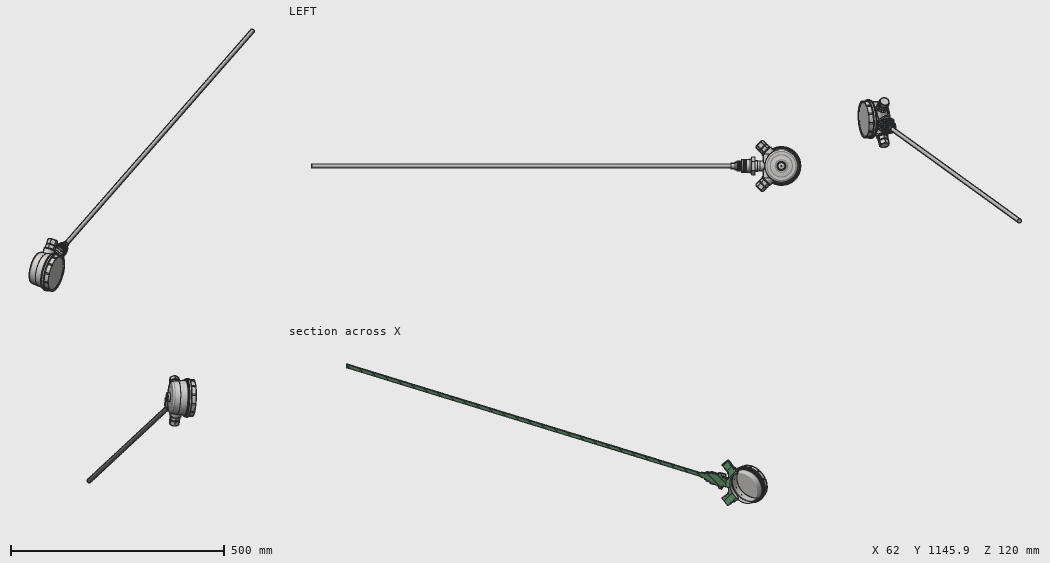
import cadquery as cq
import math


total_length = 1145.94
total_width = 62.05
total_height = 119.98

cap_flange_radius = 45.5
button_tip_x = -27.8
cap_face_x = button_tip_x + total_width
shell_face_x = -19.8
shell_front_radius = 38.0
shell_rear_radius = 41.5
shell_fillet = 4.5
port_axis_x = -0.6

chamber_wall = 1.8
chamber_floor_x = -2.0

face_cone_base_radius = 26.0
face_cone_top_radius = 14.5
face_cone_height = 1.5
button_radius = 21.0 / 2
button_groove_outer_radius = 19.0 / 2
button_groove_inner_radius = 16.0 / 2
button_groove_depth = 1.5
button_dome_drop = 1.0
button_pinhole_radius = 2.0 / 2
button_pinhole_depth = 2.0

cap_radius = 43.5
cap_start_x = 14.6
cap_flange_start_x = 16.7
cap_flange_width = 7.2
cap_flange_bevel = 1.5
cap_notch_count = 12
cap_notch_radius = 3.4 / 2
cap_notch_length = 9.5

port_angles = (45, -45)
port_boss_radius = 13.5
port_boss_reach = 50.0
plug_neck_radius = 19.5 / 2
plug_flats = 21.0
plug_corner_radius = plug_flats / 2 / math.cos(math.pi / 6)
plug_bevel = 2.0
plug_nut_start = 52.0
plug_nut_end = 61.0
plug_head_start = 62.5
plug_head_end = total_height / 2 * math.sqrt(2) - plug_corner_radius + plug_bevel

block_reach = 43.0
block_half_height = port_boss_reach * math.sqrt(2) - block_reach
block_rounding = 10.0
stub_radius = 12.0
stub_end_y = 50.0

fitting_neck_radius = stub_radius
neck_shoulder_radius = 12.6
neck_shoulder_start_y = 56.5
washer_radius = 15.9
washer_end_y = 74.0
nut_start_y = 61.5
nut_end_y = 70.5
nut_flats = 37.0
nut_bevel = 1.8
collar_radius = 15.2
collar_end_y = 80.5
large_step_end_y = 93.5
small_step_radius = 12.2
small_step_end_y = 104.5
tip_radius = 18.38 / 2
tip_end_y = 108.5
groove_pitch = 3.4
groove_width = 1.5
groove_depth = 1.0
sleeve_radius = 13.5 / 2
sleeve_end_y = 118.5
rod_radius = 10.0 / 2
rod_end_y = total_length - cap_flange_radius


def x_revolve(points):
    """Solid turned about the X axis from (x, radius) points."""
    return cq.Workplane("XY").polyline(points).close().revolve(360, (0, 0, 0), (1, 0, 0))


def y_cylinder(radius, start_y, end_y):
    """Cylinder on the rod axis between two Y positions."""
    return cq.Workplane("XZ", origin=(0, start_y, 0)).circle(radius).extrude(start_y - end_y)


def port_plane(angle, distance):
    """Plane across a cable port axis, at a distance from the head centre."""
    turn = math.radians(angle)
    direction = cq.Vector(0, math.cos(turn), math.sin(turn))
    origin = direction * distance + cq.Vector(port_axis_x, 0, 0)
    return cq.Workplane(cq.Plane(origin, xDir=(1, 0, 0), normal=direction))


def make_shell():
    """Tapered round shell with a rounded front rim."""
    shell = x_revolve([
        (shell_face_x, 0),
        (shell_face_x, shell_front_radius),
        (cap_start_x, shell_rear_radius),
        (cap_start_x, 0),
    ])
    return shell.faces("<X").edges().fillet(shell_fillet)


def make_chamber():
    """Hollow that follows the shell taper from its floor to the inside of the cap."""
    taper = (shell_rear_radius - shell_front_radius) / (cap_start_x - shell_face_x)
    floor_radius = shell_front_radius + taper * (chamber_floor_x - shell_face_x) - chamber_wall
    rear_radius = shell_rear_radius - chamber_wall
    chamber_roof_x = cap_face_x - chamber_wall
    return x_revolve([
        (chamber_floor_x, 0),
        (chamber_floor_x, floor_radius),
        (cap_start_x, rear_radius),
        (chamber_roof_x, rear_radius),
        (chamber_roof_x, 0),
    ])


def make_button():
    """Shallow cone on the shell face with a grooved, slightly domed button."""
    cone_top_x = shell_face_x - face_cone_height
    groove_x = button_tip_x + button_groove_depth
    return x_revolve([
        (shell_face_x, 0),
        (shell_face_x, face_cone_base_radius),
        (cone_top_x, face_cone_top_radius),
        (cone_top_x, button_radius),
        (button_tip_x, button_radius),
        (button_tip_x, button_groove_outer_radius),
        (groove_x, button_groove_outer_radius),
        (groove_x, button_groove_inner_radius),
        (button_tip_x + button_dome_drop, button_groove_inner_radius),
        (button_tip_x, button_pinhole_radius),
        (button_tip_x + button_pinhole_depth, button_pinhole_radius),
        (button_tip_x + button_pinhole_depth, 0),
    ])


def make_cap():
    """Screw cap with a bevelled flange and a ring of grip notches."""
    flange_end_x = cap_flange_start_x + cap_flange_width
    cap = x_revolve([
        (cap_start_x, 0),
        (cap_start_x, cap_radius),
        (cap_flange_start_x, cap_radius),
        (cap_flange_start_x + cap_flange_bevel, cap_flange_radius),
        (flange_end_x - cap_flange_bevel, cap_flange_radius),
        (flange_end_x, cap_radius),
        (cap_face_x, cap_radius),
        (cap_face_x, 0),
    ])
    notches = (
        cq.Workplane("YZ", origin=(cap_face_x, 0, 0))
        .polarArray(cap_radius, 0, 360, cap_notch_count)
        .circle(cap_notch_radius)
        .extrude(-cap_notch_length)
    )
    return cap.cut(notches)


def plug_hexagon(angle, start, end):
    """Hexagon length on a port axis, with flats facing +X and -X."""
    section = port_plane(angle, start).transformed(rotate=(0, 0, 90))
    return section.polygon(6, 2 * plug_corner_radius).extrude(end - start)


def make_port(angle):
    """Round port boss with a hexagon plug: a nut, a groove and a bevelled head."""
    axis = port_plane(angle, 0).plane.zDir
    boss = port_plane(angle, 0).circle(port_boss_radius).extrude(port_boss_reach)
    neck = port_plane(angle, port_boss_reach).circle(plug_neck_radius)
    neck = neck.extrude(plug_head_start - port_boss_reach)
    nut = plug_hexagon(angle, plug_nut_start, plug_nut_end)
    head = plug_hexagon(angle, plug_head_start, plug_head_end)
    bevel_limit = port_plane(angle, plug_head_start).circle(plug_corner_radius)
    bevel_limit = bevel_limit.extrude(plug_head_end - plug_head_start)
    bevel_limit = bevel_limit.faces(cq.selectors.DirectionMinMaxSelector(axis, True)).chamfer(plug_bevel)
    head = head.intersect(bevel_limit)
    return boss.union(neck).union(nut).union(head)


def make_block():
    """Flat-faced block that joins the two port bosses and meets their end planes."""
    block = cq.Workplane("XY").box(
        2 * port_boss_radius, block_reach, 2 * block_half_height, centered=(True, False, True)
    )
    block = block.edges(">Y and |Z").fillet(block_rounding)
    return block.translate((port_axis_x, 0, 0))


housing = make_shell().union(make_button()).union(make_cap()).union(make_block())
for port_angle in port_angles:
    housing = housing.union(make_port(port_angle))
housing = housing.union(y_cylinder(stub_radius, 0, stub_end_y))
housing = housing.cut(make_chamber())


def make_nut():
    """Hexagon nut with flats facing +X and -X and bevelled corners on the rod side."""
    corner_radius = nut_flats / 2 / math.cos(math.pi / 6)
    nut = (
        cq.Workplane("XZ", origin=(0, nut_start_y, 0))
        .transformed(rotate=(0, 0, 90))
        .polygon(6, 2 * corner_radius)
        .extrude(nut_start_y - nut_end_y)
    )
    bevel_limit = y_cylinder(corner_radius, nut_start_y, nut_end_y).faces(">Y").chamfer(nut_bevel)
    return nut.intersect(bevel_limit)


def cut_grooves(step, radius, start_y, end_y):
    """Evenly spaced square grooves round one step of the fitting."""
    groove_count = int((end_y - start_y) / groove_pitch)
    for index in range(groove_count):
        groove_y = start_y + (index + 0.5) * groove_pitch
        ring = y_cylinder(radius, groove_y, groove_y + groove_width)
        core = y_cylinder(radius - groove_depth, groove_y, groove_y + groove_width)
        step = step.cut(ring.cut(core))
    return step


def make_fitting():
    """Stepped process fitting: neck, nut, washer, collar and two grooved steps."""
    large_step = y_cylinder(collar_radius, nut_end_y, large_step_end_y)
    large_step = cut_grooves(large_step, collar_radius, collar_end_y, large_step_end_y)
    small_step = y_cylinder(small_step_radius, large_step_end_y, small_step_end_y)
    small_step = cut_grooves(small_step, small_step_radius, large_step_end_y, small_step_end_y)
    neck = y_cylinder(fitting_neck_radius, stub_end_y, nut_start_y)
    shoulder = y_cylinder(neck_shoulder_radius, neck_shoulder_start_y, nut_start_y)
    neck = neck.union(shoulder)
    washer = y_cylinder(washer_radius, nut_end_y, washer_end_y)
    large_step = large_step.union(washer)
    tip = y_cylinder(tip_radius, small_step_end_y, tip_end_y)
    return neck.union(make_nut()).union(large_step).union(small_step).union(tip)


sleeve = y_cylinder(sleeve_radius, tip_end_y, sleeve_end_y)
rod = y_cylinder(rod_radius, sleeve_end_y, rod_end_y)
probe = make_fitting().union(sleeve).union(rod)

result = cq.Compound.makeCompound([housing.val(), probe.val()])